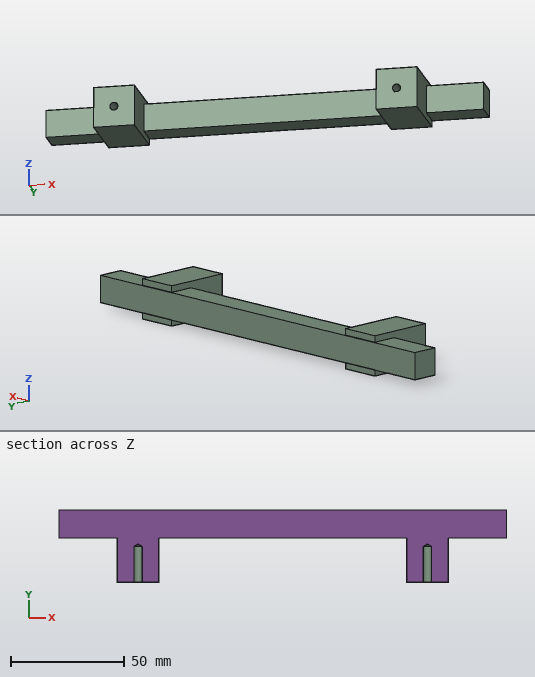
import cadquery as cq
import math

bar_length = 198.0
bar_side = 12.5

overall_depth = 32.0
post_side = 18.5
post_spacing = 128.0
bar_protrusion = 0.5
post_depth = overall_depth - bar_protrusion

hole_diameter = 3.5
hole_depth = 15.8
drill_point_angle = 118.0

mounting_face_y = -overall_depth / 2
bar_center_y = (overall_depth - bar_side) / 2


def make_bar():
    return cq.Workplane("XY").box(bar_length, bar_side, bar_side).translate((0, bar_center_y, 0))


def make_post(x):
    center_y = mounting_face_y + post_depth / 2
    return cq.Workplane("XY").box(post_side, post_depth, post_side).translate((x, center_y, 0))


def make_screw_hole(x):
    radius = hole_diameter / 2
    point_height = radius / math.tan(math.radians(drill_point_angle / 2))
    half_profile = (
        cq.Workplane("XY", origin=(x, mounting_face_y, 0))
        .lineTo(radius, 0)
        .lineTo(radius, hole_depth)
        .lineTo(0, hole_depth + point_height)
        .close()
    )
    return half_profile.revolve(360, (0, 0, 0), (0, 1, 0))


post_positions = (-post_spacing / 2, post_spacing / 2)

result = make_bar()
for post_x in post_positions:
    result = result.union(make_post(post_x))
for post_x in post_positions:
    result = result.cut(make_screw_hole(post_x))